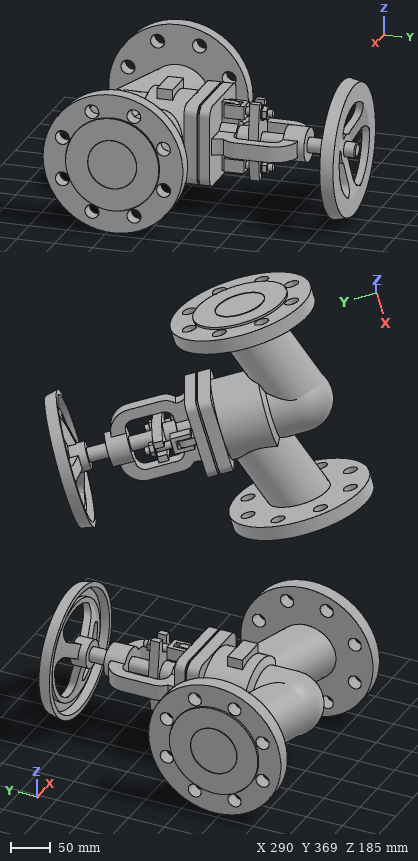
import cadquery as cq
import math


OVERALL_LENGTH = 369

FACE_TO_FACE = 290.0
FLANGE_DIAMETER = 185.0
FLANGE_THICKNESS = 19.2
RAISED_FACE_DIAMETER = 123.3
RAISED_FACE_HEIGHT = 3.0
BORE_MARK_DIAMETER = 64.5
BORE_MARK_DEPTH = 0.7
BOLT_HOLE_COUNT = 8
BOLT_HOLE_DIAMETER = 18.0
BOLT_CIRCLE_DIAMETER = 144.5

PIPE_RADIUS = 38.7
PIPE_RISE = 39.5
ELBOW_RADIUS = 42.0
ELBOW_CENTER = -37.0

BODY_RADIUS = 52.5
BODY_BOTTOM = 4.5
SHOULDER_HEIGHT = 5.0
PAD_WIDTH = 44.5
PAD_BOTTOM = 19.2
PAD_TOP = 40.0
PAD_HEIGHT = 61.3

COVER_WIDTH = 107.5
COVER_CORNER_RADIUS = 13.0
COVER_BOTTOM = 65.0
COVER_TOP = 99.0
GASKET_BOTTOM = 82.3
GASKET_THICKNESS = 2.2
GASKET_INSET = 2.2

YOKE_THICKNESS = 21.5
YOKE_HALF_WIDTH = 50.0
YOKE_TOP = 204.0
YOKE_OUTER_RADIUS = 30.5
YOKE_SHOULDER = 131.0
YOKE_WAIST_HALF_WIDTH = 42.0
YOKE_WAIST = 113.5
YOKE_LOWER_RADIUS = 23.2
YOKE_FOOT_MIDDLE = 108.5
YOKE_FOOT_HALF_WIDTH = 47.0
WINDOW_HALF_WIDTH = 34.7
WINDOW_BOTTOM = 121.5
WINDOW_TOP = 184.5
WINDOW_CORNER_RADIUS = 12.0
BUSHING_RADIUS = 22.5
BUSHING_TOP = 213.0

NECK_RADIUS = 19.2
NECK_TOP = WINDOW_BOTTOM
GLAND_RADIUS = 15.0
GLAND_PLATE_BOTTOM = 138.8
GLAND_PLATE_TOP = 151.5
GLAND_PLATE_LENGTH = 102.2
GLAND_PLATE_END_WIDTH = 28.0
GLAND_PLATE_MIDDLE_WIDTH = 40.0
GLAND_SLOT_WIDTH = 11.0
EYE_BOLT_OFFSET = 36.0
EYE_BOLT_RADIUS = 5.0
EYE_BOLT_TOP = 165.7
NUT_TOP = 159.0
NUT_CORNER_DIAMETER = 18.5
WASHER_RADIUS = 10.5
WASHER_THICKNESS = 1.0
CLEVIS_WIDTH = 21.8
CLEVIS_DEPTH = 17.7
CLEVIS_BOTTOM = 103.7
CLEVIS_TOP = 130.3
CLEVIS_SLOT_WIDTH = 10.7
CLEVIS_SLOT_TOP = 124.0
TONGUE_WIDTH = 9.5
TONGUE_REACH = 46.0
TONGUE_CORNER_RADIUS = 9.0

STEM_RADIUS = 10.0
STEM_TOP = OVERALL_LENGTH - FLANGE_DIAMETER / 2
STEM_CHAMFER = 1.5
HUB_RADIUS = 19.0
HUB_BOTTOM = 239.5
WHEEL_BOTTOM = 255.7
WHEEL_TOP = 272.5
WHEEL_BOTTOM_RADIUS = 90.0
WHEEL_TOP_RADIUS = 86.5
GROOVE_MOUTH_RADIUS = 83.0
GROOVE_FLOOR_RADIUS = 80.5
GROOVE_FLOOR = 266.8
INNER_RING_OUTER_RADIUS = 68.5
INNER_RING_INNER_RADIUS = 61.3
INNER_RING_BOTTOM = 262.0
SPOKE_HUB_BOTTOM = 250.2
SPOKE_HUB_TOP = 261.3
SPOKE_WIDTH = 19.2
SPOKE_COUNT = 3
OPENING_CORNER_RADIUS = 13.5


def plane_at(y, z=0):
    """Workplane facing +Y whose local axes are Z and X."""
    return cq.Workplane("ZX", origin=(0, y, z))


def rod(radius, bottom, top, z=0):
    """Cylinder along Y."""
    return plane_at(bottom, z=z).circle(radius).extrude(top - bottom)


def block(width, depth, bottom, top, z=0):
    """Box centred on X = 0 and on the given Z, standing between two levels of Y."""
    return plane_at(bottom, z=z).rect(depth, width).extrude(top - bottom)


def make_port():
    """Inlet flange on the -X side with its pipe sloping down to the stem axis."""
    face = -FACE_TO_FACE / 2
    flange_front = face + RAISED_FACE_HEIGHT
    flange_back = flange_front + FLANGE_THICKNESS
    flange = (
        cq.Workplane("YZ", origin=(flange_front, 0, 0))
        .circle(FLANGE_DIAMETER / 2)
        .extrude(FLANGE_THICKNESS)
    )
    raised_face = (
        cq.Workplane("YZ", origin=(face, 0, 0))
        .circle(RAISED_FACE_DIAMETER / 2)
        .extrude(RAISED_FACE_HEIGHT)
    )
    bore_mark = (
        cq.Workplane("YZ", origin=(face, 0, 0))
        .circle(BORE_MARK_DIAMETER / 2)
        .extrude(BORE_MARK_DEPTH)
    )
    bolt_holes = (
        cq.Workplane("YZ", origin=(flange_front, 0, 0))
        .polarArray(BOLT_CIRCLE_DIAMETER / 2, 180 / BOLT_HOLE_COUNT, 360, BOLT_HOLE_COUNT)
        .circle(BOLT_HOLE_DIAMETER / 2)
        .extrude(FLANGE_THICKNESS)
    )

    axis = cq.Vector(-flange_back, -PIPE_RISE, 0)
    start_before_flange = 0.5
    start = cq.Vector(flange_back, 0, 0) - axis.multiply(start_before_flange)
    pipe = (
        cq.Workplane(cq.Plane(origin=start.toTuple(), xDir=(0, 0, 1), normal=axis.toTuple()))
        .circle(PIPE_RADIUS)
        .extrude((1 + start_before_flange) * axis.Length)
    )
    beyond_flange = (
        cq.Workplane("YZ", origin=(flange_front, 0, 0))
        .circle(FLANGE_DIAMETER)
        .extrude(-FACE_TO_FACE)
    )
    pipe = pipe.cut(beyond_flange)
    return flange.cut(bolt_holes).union(raised_face).cut(bore_mark).union(pipe)


def make_body():
    """Round valve body with its shoulder, elbow and label pad."""
    shoulder_bottom = BODY_BOTTOM - SHOULDER_HEIGHT
    profile = (
        cq.Workplane("XY")
        .moveTo(0, ELBOW_CENTER - ELBOW_RADIUS)
        .radiusArc((ELBOW_RADIUS, ELBOW_CENTER), -ELBOW_RADIUS)
        .lineTo(ELBOW_RADIUS, shoulder_bottom)
        .lineTo(BODY_RADIUS, BODY_BOTTOM)
        .lineTo(BODY_RADIUS, COVER_BOTTOM)
        .lineTo(0, COVER_BOTTOM)
        .close()
    )
    body = profile.revolve(360, (0, 0, 0), (0, 1, 0))
    pad = block(PAD_WIDTH, PAD_HEIGHT, PAD_BOTTOM, PAD_TOP, z=PAD_HEIGHT / 2)
    return body.union(pad)


def make_cover():
    """Square body flange and bonnet flange, parted by the recessed gasket."""
    cover = block(COVER_WIDTH, COVER_WIDTH, COVER_BOTTOM, COVER_TOP).edges("|Y").fillet(COVER_CORNER_RADIUS)
    gasket_top = GASKET_BOTTOM + GASKET_THICKNESS
    gasket_width = COVER_WIDTH - 2 * GASKET_INSET
    gasket_corner = COVER_CORNER_RADIUS - GASKET_INSET
    gasket = block(gasket_width, gasket_width, GASKET_BOTTOM, gasket_top).edges("|Y").fillet(gasket_corner)
    gap = block(COVER_WIDTH, COVER_WIDTH, GASKET_BOTTOM, gasket_top).cut(gasket)
    return cover.cut(gap)


def make_yoke():
    """Flat yoke with rounded shoulders, a window and the stem bushing on top."""
    foot_middle = (YOKE_WAIST_HALF_WIDTH, YOKE_FOOT_MIDDLE)
    half_yoke = (
        cq.Workplane("XY")
        .moveTo(0, COVER_TOP)
        .lineTo(YOKE_FOOT_HALF_WIDTH, COVER_TOP)
        .threePointArc(foot_middle, (YOKE_WAIST_HALF_WIDTH, YOKE_WAIST))
        .radiusArc((YOKE_HALF_WIDTH, YOKE_SHOULDER), -YOKE_LOWER_RADIUS)
        .lineTo(YOKE_HALF_WIDTH, YOKE_TOP - YOKE_OUTER_RADIUS)
        .radiusArc((YOKE_HALF_WIDTH - YOKE_OUTER_RADIUS, YOKE_TOP), -YOKE_OUTER_RADIUS)
        .lineTo(0, YOKE_TOP)
        .close()
        .extrude(YOKE_THICKNESS / 2, both=True)
    )
    window = (
        block(2 * WINDOW_HALF_WIDTH, YOKE_THICKNESS, WINDOW_BOTTOM, WINDOW_TOP)
        .edges("|Z")
        .fillet(WINDOW_CORNER_RADIUS)
    )
    bushing = rod(BUSHING_RADIUS, WINDOW_TOP, BUSHING_TOP)
    return half_yoke.union(half_yoke.mirror("YZ")).cut(window).union(bushing)


def make_eye_bolt():
    """Eye bolt on the +Z side: tongue on the bonnet, clevis, shank, washer and nut."""
    tongue = (
        block(TONGUE_WIDTH, TONGUE_REACH, COVER_TOP, NECK_TOP, z=TONGUE_REACH / 2)
        .edges("|X and >Y and >Z")
        .fillet(TONGUE_CORNER_RADIUS)
    )
    clevis = block(CLEVIS_WIDTH, CLEVIS_DEPTH, CLEVIS_BOTTOM, CLEVIS_TOP, z=EYE_BOLT_OFFSET)
    slot = block(CLEVIS_SLOT_WIDTH, CLEVIS_DEPTH, CLEVIS_BOTTOM, CLEVIS_SLOT_TOP, z=EYE_BOLT_OFFSET)
    shank = rod(EYE_BOLT_RADIUS, CLEVIS_SLOT_TOP, EYE_BOLT_TOP, z=EYE_BOLT_OFFSET)
    washer = rod(WASHER_RADIUS, GLAND_PLATE_TOP, GLAND_PLATE_TOP + WASHER_THICKNESS, z=EYE_BOLT_OFFSET)
    nut = (
        plane_at(GLAND_PLATE_TOP, z=EYE_BOLT_OFFSET)
        .polygon(6, NUT_CORNER_DIAMETER)
        .extrude(NUT_TOP - GLAND_PLATE_TOP)
    )
    return clevis.cut(slot).union(tongue).union(shank).union(washer).union(nut)


def make_gland():
    """Packing neck, gland and slotted gland plate held by the two eye bolts."""
    neck = rod(NECK_RADIUS, COVER_TOP, NECK_TOP)
    gland = rod(GLAND_RADIUS, NECK_TOP, GLAND_PLATE_BOTTOM)
    end = GLAND_PLATE_LENGTH / 2
    end_half = GLAND_PLATE_END_WIDTH / 2
    middle_half = GLAND_PLATE_MIDDLE_WIDTH / 2
    plate = (
        plane_at(GLAND_PLATE_BOTTOM)
        .polyline([
            (-end, -end_half), (0, -middle_half), (end, -end_half),
            (end, end_half), (0, middle_half), (-end, end_half),
        ])
        .close()
        .extrude(GLAND_PLATE_TOP - GLAND_PLATE_BOTTOM)
    )
    eye_bolt = make_eye_bolt()
    slot_reach = end - EYE_BOLT_OFFSET
    slot_middle = EYE_BOLT_OFFSET + slot_reach / 2
    slot = block(GLAND_SLOT_WIDTH, slot_reach, GLAND_PLATE_BOTTOM, GLAND_PLATE_TOP, z=slot_middle)
    slot = slot.union(rod(GLAND_SLOT_WIDTH / 2, GLAND_PLATE_BOTTOM, GLAND_PLATE_TOP, z=EYE_BOLT_OFFSET))
    plate = plate.cut(slot).cut(slot.mirror("XY"))
    return neck.union(gland).union(plate).union(eye_bolt).union(eye_bolt.mirror("XY"))


def make_handwheel():
    """Handwheel with a grooved rim, three spokes and a hub."""
    wheel = (
        cq.Workplane("XY")
        .polyline([
            (0, SPOKE_HUB_BOTTOM),
            (HUB_RADIUS, SPOKE_HUB_BOTTOM),
            (INNER_RING_INNER_RADIUS, INNER_RING_BOTTOM),
            (INNER_RING_OUTER_RADIUS, INNER_RING_BOTTOM),
            (INNER_RING_OUTER_RADIUS, GROOVE_FLOOR),
            (GROOVE_FLOOR_RADIUS, GROOVE_FLOOR),
            (GROOVE_MOUTH_RADIUS, WHEEL_BOTTOM),
            (WHEEL_BOTTOM_RADIUS, WHEEL_BOTTOM),
            (WHEEL_TOP_RADIUS, WHEEL_TOP),
            (INNER_RING_INNER_RADIUS, WHEEL_TOP),
            (HUB_RADIUS, SPOKE_HUB_TOP),
            (0, SPOKE_HUB_TOP),
        ])
        .close()
        .revolve(360, (0, 0, 0), (0, 1, 0))
    )

    pitch = 360 / SPOKE_COUNT
    half_pitch = math.radians(pitch / 2)
    apex = SPOKE_WIDTH / 2 / math.sin(half_pitch)
    side = 2 * INNER_RING_INNER_RADIUS
    sector = (
        plane_at(HUB_BOTTOM)
        .polyline([
            (apex, 0),
            (apex + side * math.cos(half_pitch), side * math.sin(half_pitch)),
            (apex + side, 0),
            (apex + side * math.cos(half_pitch), -side * math.sin(half_pitch)),
        ])
        .close()
        .extrude(WHEEL_TOP - HUB_BOTTOM)
    )
    opening = (
        rod(INNER_RING_INNER_RADIUS, HUB_BOTTOM, WHEEL_TOP)
        .intersect(sector)
        .edges("|Y and (<X or >X)")
        .fillet(OPENING_CORNER_RADIUS)
    )
    for index in range(SPOKE_COUNT):
        wheel = wheel.cut(opening.rotate((0, 0, 0), (0, 1, 0), index * pitch))
    return wheel.union(rod(HUB_RADIUS, HUB_BOTTOM, SPOKE_HUB_TOP))


inlet = make_port()
outlet = inlet.rotate((0, 0, 0), (0, 0, 1), 180)
stem = rod(STEM_RADIUS, NECK_TOP, STEM_TOP).faces(">Y").chamfer(STEM_CHAMFER)

result = (
    make_body()
    .union(inlet)
    .union(outlet)
    .union(make_cover())
    .union(make_yoke())
    .union(make_gland())
    .union(stem)
    .union(make_handwheel())
)